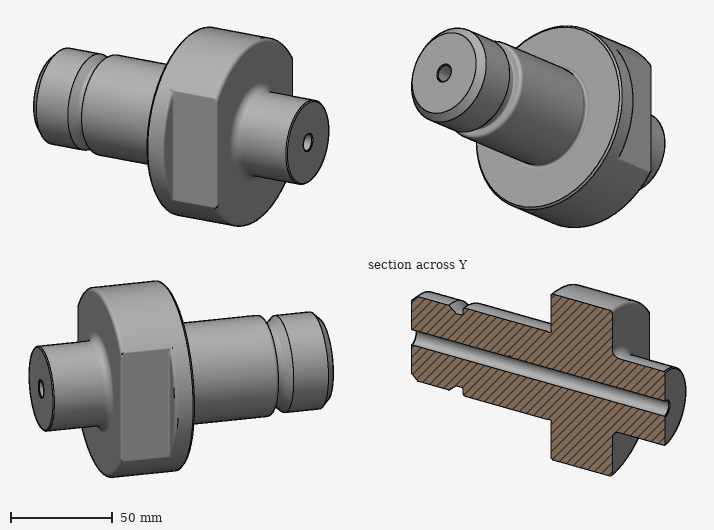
import cadquery as cq

length = 144.0
x_start = -length / 2
head_chamfer_end = x_start + 3.6
head_end = x_start + 21.5
groove_start = x_start + 25.3
groove_end = x_start + 29.1
flange_start = x_start + 79.0
flange_end = flange_start + 35.0
x_end = x_start + length

head_radius = 24.0
groove_radius = 20.6
groove_fillet = 0.7
shank_radius = 25.0
shank_fillet = 1.7
flange_diameter = 94.0
flange_radius = flange_diameter / 2
flange_chamfer = 1.0
spigot_radius = 21.0
spigot_chamfer = 0.6
spigot_fillet = 4.0
bore_radius = 4.2
bore_chamfer = 0.5

undercut_depth = 0.3
undercut_start = flange_start - 2.6
undercut_floor_start = flange_start - 1.3
undercut_fillet = 0.7
undercut_face_radius = 26.6

flat_offset = 37.5
flat_start = flange_start + 10.1
flat_edge_fillet = 1.0
flat_root_fillet = 0.9
collar_rim_fillet = 1.5
rim_fillet = 2.0


def turned(points):
    """Revolve an (x, radius) outline about the X axis."""
    return cq.Workplane("XY").polyline(points).close().revolve(360, (0, 0, 0), (1, 0, 0))


def circle_at(body, x, radius):
    """Largest circular edge of a turned body, at one position and up to one radius."""
    tolerance = 0.01
    half_box = radius + tolerance
    return body.edges("%CIRCLE").edges(
        cq.selectors.BoxSelector(
            (x - tolerance, -half_box, -half_box),
            (x + tolerance, half_box, half_box),
            boundingbox=True,
        )
    ).edges(cq.selectors.LengthNthSelector(-1))


def make_shank():
    """Locating shank with its chamfered head and annular groove."""
    shank = turned([
        (x_start, 0),
        (x_start, groove_radius),
        (head_chamfer_end, head_radius),
        (head_end, head_radius),
        (groove_start, groove_radius),
        (groove_end, groove_radius),
        (groove_end, shank_radius),
        (flange_start + flange_chamfer, shank_radius),
        (flange_start + flange_chamfer, 0),
    ])
    shank = circle_at(shank, groove_start, groove_radius).fillet(groove_fillet)
    shank = circle_at(shank, groove_end, groove_radius).fillet(groove_fillet)
    return circle_at(shank, groove_end, shank_radius).fillet(shank_fillet)


def make_collar():
    """Full round collar at the shank side, beside the flats."""
    collar = turned([
        (flange_start, 0),
        (flange_start, flange_radius - flange_chamfer),
        (flange_start + flange_chamfer, flange_radius),
        (flat_start, flange_radius),
        (flat_start, 0),
    ])
    return circle_at(collar, flat_start, flange_radius).fillet(collar_rim_fillet)


def make_flatted_body():
    """Disc trimmed by the two flats, with its end rim and flat edges rounded."""
    body_start = flange_start + flange_chamfer
    body_length = flange_end - body_start
    disc = cq.Workplane("YZ", origin=(body_start, 0, 0)).circle(flange_radius).extrude(body_length)
    disc = disc.faces(">X").edges().fillet(rim_fillet)
    slab = cq.Workplane("XY").box(
        body_length, 2 * flat_offset, 2 * flange_radius, centered=(False, True, True)
    )
    body = disc.intersect(slab.translate((body_start, 0, 0)))
    return body.faces(">X").edges("|Z").fillet(flat_edge_fillet)


def make_flange():
    """Flange with two flats that stop at the collar in a small root fillet."""
    flange = make_collar().union(make_flatted_body())
    tolerance = 0.01
    root_edges = flange.edges("|Z").edges(
        cq.selectors.BoxSelector(
            (flat_start - tolerance, -flange_radius, -flange_radius),
            (flat_start + tolerance, flange_radius, flange_radius),
        )
    )
    return root_edges.fillet(flat_root_fillet)


def make_undercut():
    """Ring removed at the corner of shank and flange, biting slightly into both."""
    floor_radius = shank_radius - undercut_depth
    wall = flange_start + undercut_depth
    ring = turned([
        (undercut_start, shank_radius),
        (undercut_floor_start, floor_radius),
        (wall, floor_radius),
        (flange_start, undercut_face_radius),
        (flange_start, shank_radius),
    ])
    return circle_at(ring, wall, floor_radius).fillet(undercut_fillet)


def make_spigot():
    """Plain spigot, flared into the flange by a concave fillet."""
    flare_radius = spigot_radius + spigot_fillet
    profile = (
        cq.Workplane("XY")
        .moveTo(flange_end - spigot_fillet, 0)
        .lineTo(flange_end - spigot_fillet, flare_radius)
        .lineTo(flange_end, flare_radius)
        .radiusArc((flange_end + spigot_fillet, spigot_radius), -spigot_fillet)
        .lineTo(x_end - spigot_chamfer, spigot_radius)
        .lineTo(x_end, spigot_radius - spigot_chamfer)
        .lineTo(x_end, 0)
        .close()
    )
    return profile.revolve(360, (0, 0, 0), (1, 0, 0))


def make_bore():
    """Axial through bore with a chamfered mouth at each end."""
    mouth_radius = bore_radius + bore_chamfer
    return turned([
        (x_start, 0),
        (x_start, mouth_radius),
        (x_start + bore_chamfer, bore_radius),
        (x_end - bore_chamfer, bore_radius),
        (x_end, mouth_radius),
        (x_end, 0),
    ])


result = (
    make_flange()
    .union(make_shank())
    .cut(make_undercut())
    .union(make_spigot())
    .cut(make_bore())
)